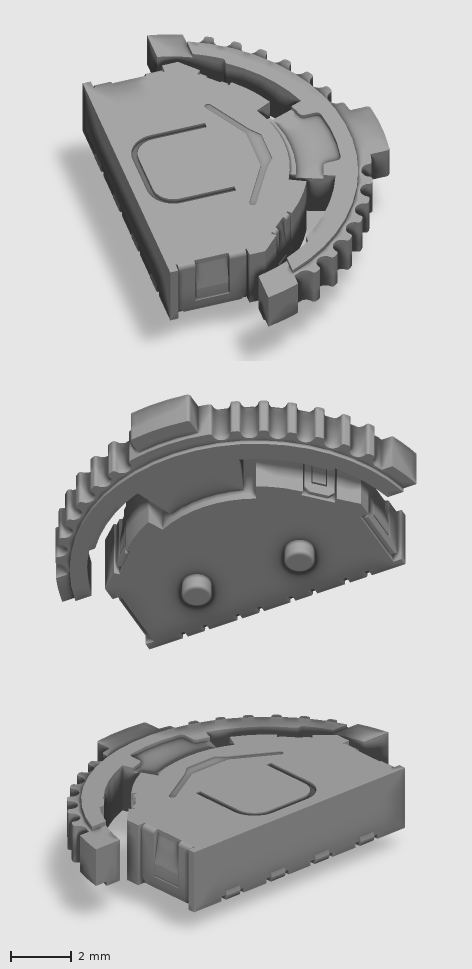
import cadquery as cq
import math

body_half_width = 4.75
body_height = 2.22
side_length = 3.33
lobe_radius = 4.55
lobe_half_angle = 45.0
notch_radius = 3.95
notch_half_angle = 26.0

axle_y = 1.57
overall_width = 13.16
wheel_end_y = 2.84
rim_radius = 6.22
inner_radius = 5.47
end_inner_radius = 5.65
end_relief_y = 4.88
rim_bottom = 0.4
rim_top = 2.07
rim_step = 0.16
upper_rim_end_y = 3.96
tooth_bottom = rim_bottom + rim_step
tooth_top = rim_top - rim_step

tooth_pitch = 8.2
first_gap = 16.1
gap_count = 7
tip_radius = math.hypot(overall_width / 2, wheel_end_y - axle_y)
root_radius = 6.33
gap_radius = 0.3
tip_fillet = 0.1
end_block_y = 3.99

tab_half_width = 1.1
tab_radius = 7.37
tab_bottom = 0.71
tab_fillet = 0.12

spoke_half_angle = 20.0
hub_radius = 4.16
hub_overlap = 0.4
pocket_radius = 5.07
pocket_deep_radius = 5.69
pocket_half_width = 1.2
pocket_fillet = 0.18

side_clip = dict(
    place=(4.45, 1.53),
    angle=0,
    recess_width=2.49,
    depth=0.3,
    flap_width=2.37,
    flap_thickness=0.17,
    window_width=1.2,
    snap_reach=0.17,
)
slant_clip = dict(
    place=(3.58, 4.18),
    angle=45,
    recess_width=1.18,
    depth=0.2,
    flap_width=1.05,
    flap_thickness=0.13,
    window_width=0.55,
    snap_reach=0.13,
)
cover_thickness = 0.16
flap_bottom = 0.12
bend_share = 0.9
flap_corner = 0.18
window_bottom = 0.51
snap_bottom = 0.59
snap_edge = 1.03
snap_top = 2.03
snap_side_gap = 0.04

u_half_width = 1.7
u_front_y = 0.46
u_back_y = 3.29
u_corner = 0.93
u_groove = 0.21
chevron_depth = 0.05
chevron_groove = 0.24
chevron_slope = math.radians(30)
chevron_arm = 1.8
chevron_flat_half = 0.8
chevron_flat_front = 4.43
chevron_flat_back = 4.91
chevron_shoulder = 0.07
chevron_crown_half = 0.6

terminal_places = (-3.01, -0.99, 0.99, 3.01)
terminal_width = 0.62
terminal_height = 0.33
terminal_bulge = 0.05
bulge_share = 0.55
slot_width = 1.0
slot_height = 0.17
slot_depth = 0.26
peg_x = 1.91
peg_y = 2.2
peg_radius = 0.5
peg_length = 0.58
peg_fillet = 0.1

far = 10.53
tolerance = 0.01


def disc(radius, bottom, top):
    """Disc about the wheel axis."""
    plane = cq.Workplane("XY", origin=(0, axle_y, bottom))
    return plane.circle(radius).extrude(top - bottom)


def ring(outer, inner, bottom, top):
    return disc(outer, bottom, top).cut(disc(inner, bottom, top))


def block(x0, x1, y0, y1, z0, z1):
    size = (x1 - x0, y1 - y0, z1 - z0)
    return cq.Workplane("XY", origin=(x0, y0, z0)).box(*size, centered=False)


def behind(y):
    """Everything with Y greater than the given value."""
    return block(-far, far, y, far, -far, far)


def sector(half_angle, bottom, top):
    """Wedge that opens from the wheel axis toward +Y."""
    reach = far * math.tan(math.radians(half_angle))
    plane = cq.Workplane("XY", origin=(0, axle_y, bottom))
    return plane.polyline([(0, 0), (reach, far), (-reach, far)]).close().extrude(top - bottom)


def mirrored(solid):
    """The solid together with its mirror image in X = 0."""
    return solid.union(solid.mirror("YZ"))


def make_housing():
    lobe_x = lobe_radius * math.sin(math.radians(lobe_half_angle))
    lobe_y = axle_y + lobe_radius * math.cos(math.radians(lobe_half_angle))
    outline = (
        cq.Workplane("XY")
        .moveTo(-body_half_width, 0)
        .lineTo(body_half_width, 0)
        .lineTo(body_half_width, side_length)
        .lineTo(lobe_x, lobe_y)
        .threePointArc((0, axle_y + lobe_radius), (-lobe_x, lobe_y))
        .lineTo(-body_half_width, side_length)
        .close()
    )
    housing = outline.extrude(body_height)
    notch = sector(notch_half_angle, 0, body_height).cut(disc(notch_radius, 0, body_height))
    return housing.cut(notch)


def add_clip(
    housing, place, angle, recess_width, depth, flap_width, flap_thickness, window_width, snap_reach
):
    """Recess with a windowed flap and a snap wedge, on both sides of the housing.

    They are modelled with +X pointing outward and the recess floor on X = 0.
    """

    def placed(solid):
        return mirrored(solid.rotate((0, 0, 0), (0, 0, 1), angle).translate((*place, 0)))

    half_recess = recess_width / 2
    half_flap = flap_width / 2
    half_window = window_width / 2
    recess = block(0, 2 * depth, -half_recess, half_recess, 0, body_height)
    flap = block(0, flap_thickness, -half_flap, half_flap, flap_bottom, body_height)
    flap = flap.edges("|X and <Z").chamfer(flap_corner)
    flap = flap.edges("|Y and >Z and >X").fillet(bend_share * flap_thickness)
    flap = flap.cut(block(0, flap_thickness, -half_window, half_window, window_bottom, body_height))
    snap = (
        cq.Workplane("XZ", origin=(0, half_window - snap_side_gap, 0))
        .moveTo(0, snap_bottom)
        .lineTo(snap_reach, snap_bottom)
        .lineTo(snap_reach, snap_edge)
        .lineTo(0, snap_top)
        .close()
        .extrude(window_width - 2 * snap_side_gap)
    )
    return housing.cut(placed(recess)).union(placed(flap)).union(placed(snap))


def cut_u_groove(housing):
    bottom = body_height - cover_thickness

    def u_shape(inset):
        w = u_half_width - inset
        solid = block(-w, w, u_front_y + inset, u_back_y, bottom, body_height)
        return solid.edges("|Z and <Y").fillet(u_corner - inset)

    return housing.cut(u_shape(0).cut(u_shape(u_groove)))


def cut_chevron(housing):
    """Shallow roof-shaped groove with round ends and a thicker flat crown."""

    def arm_point(along, across, side):
        x = chevron_flat_half + along * math.cos(chevron_slope) + across * math.sin(chevron_slope)
        y = chevron_flat_front - along * math.sin(chevron_slope) + across * math.cos(chevron_slope)
        return (side * x, y)

    radius = chevron_groove / 2
    groove = (
        cq.Workplane("XY", origin=(0, 0, body_height - chevron_depth))
        .moveTo(*arm_point(0, 0, -1))
        .lineTo(*arm_point(0, 0, 1))
        .lineTo(*arm_point(chevron_arm, 0, 1))
        .threePointArc(
            arm_point(chevron_arm + radius, radius, 1),
            arm_point(chevron_arm, chevron_groove, 1),
        )
        .lineTo(*arm_point(chevron_shoulder, chevron_groove, 1))
        .lineTo(chevron_crown_half, chevron_flat_back)
        .lineTo(-chevron_crown_half, chevron_flat_back)
        .lineTo(*arm_point(chevron_shoulder, chevron_groove, -1))
        .lineTo(*arm_point(chevron_arm, chevron_groove, -1))
        .threePointArc(
            arm_point(chevron_arm + radius, radius, -1),
            arm_point(chevron_arm, 0, -1),
        )
        .close()
        .extrude(chevron_depth)
    )
    return housing.cut(groove)


def add_terminals(housing):
    half_slot = slot_width / 2
    half_width = terminal_width / 2
    for x in terminal_places:
        housing = housing.cut(block(x - half_slot, x + half_slot, 0, slot_depth, 0, slot_height))
        terminal = (
            cq.Workplane("YZ", origin=(x - half_width, 0, 0))
            .moveTo(0, 0)
            .lineTo(slot_depth, 0)
            .lineTo(slot_depth, terminal_height)
            .lineTo(0, terminal_height)
            .lineTo(-terminal_bulge, slot_height)
            .threePointArc((-terminal_bulge * bulge_share, slot_height / 3), (0, 0))
            .close()
            .extrude(terminal_width)
        )
        housing = housing.union(terminal)
    return housing


def make_pegs():
    pegs = cq.Workplane("XY").pushPoints([(-peg_x, peg_y), (peg_x, peg_y)])
    return pegs.circle(peg_radius).extrude(-peg_length).faces("<Z").edges().fillet(peg_fillet)


def make_teeth():
    """Toothed band with a plain block at each end and between the two innermost gaps."""
    band = disc(tip_radius, tooth_bottom, tooth_top).intersect(behind(wheel_end_y))
    gap_center = root_radius + gap_radius
    slot = block(-gap_radius, gap_radius, gap_center, far, tooth_bottom, tooth_top).union(
        cq.Workplane("XY", origin=(0, gap_center, tooth_bottom))
        .circle(gap_radius)
        .extrude(tooth_top - tooth_bottom)
    )
    for i in range(gap_count):
        angle = first_gap + i * tooth_pitch
        turned = slot.rotate((0, 0, 0), (0, 0, 1), -angle).translate((0, axle_y, 0))
        band = band.cut(mirrored(turned))

    last_gap = first_gap + (gap_count - 1) * tooth_pitch
    gap_x = gap_center * math.sin(math.radians(last_gap))
    gap_y = axle_y + gap_center * math.cos(math.radians(last_gap))
    outside_root = ring(far, root_radius, tooth_bottom, tooth_top)
    opening = block(gap_x - gap_radius, far, end_block_y, gap_y, tooth_bottom, tooth_top)
    band = band.cut(mirrored(opening.intersect(outside_root)))

    def at_tooth_tip(edge):
        center = edge.Center()
        radius = math.hypot(center.x, center.y - axle_y)
        return abs(radius - tip_radius) < tolerance and center.y > end_block_y + tip_fillet

    return band.edges("|Z").filter(at_tooth_tip).fillet(tip_fillet)


def make_wheel():
    wheel = make_teeth()
    rim = disc(rim_radius, rim_bottom, rim_top).intersect(behind(wheel_end_y))
    front_of_upper_rim = block(-far, far, 0, upper_rim_end_y, tooth_top, rim_top)
    wheel = wheel.union(rim.cut(front_of_upper_rim))

    tab_box = block(-tab_half_width, tab_half_width, axle_y + rim_radius, far, tab_bottom, tooth_top)
    tab = tab_box.intersect(disc(tab_radius, tab_bottom, tooth_top))
    wheel = wheel.union(tab.edges("|Z").edges(">Y").fillet(tab_fillet))

    relief = disc(end_inner_radius, 0, body_height).cut(behind(end_relief_y))
    wheel = wheel.cut(disc(inner_radius, 0, body_height)).cut(relief)

    spoke = sector(spoke_half_angle, rim_bottom, rim_top)
    spoke = spoke.intersect(ring(rim_radius, notch_radius - hub_overlap, rim_bottom, rim_top))
    wheel = wheel.union(spoke)
    pocket = ring(pocket_radius, hub_radius, tooth_top, rim_top)
    pocket = pocket.intersect(sector(spoke_half_angle + 1, tooth_top, rim_top))
    deep_pocket = block(-pocket_half_width, pocket_half_width, axle_y, far, tooth_top, rim_top)
    deep_pocket = deep_pocket.intersect(ring(pocket_deep_radius, hub_radius, tooth_top, rim_top))
    pocket = pocket.union(deep_pocket)

    def at_deep_pocket_side(edge):
        return abs(abs(edge.Center().x) - pocket_half_width) < tolerance

    return wheel.cut(pocket.edges("|Z").filter(at_deep_pocket_side).fillet(pocket_fillet))


housing = make_housing()
housing = add_clip(housing, **side_clip)
housing = add_clip(housing, **slant_clip)
housing = cut_u_groove(housing)
housing = cut_chevron(housing)
housing = add_terminals(housing)

result = housing.union(make_pegs()).union(make_wheel()).clean()